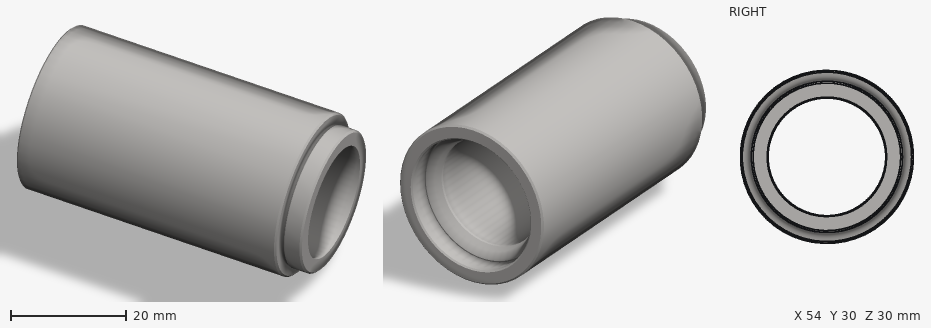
import cadquery as cq

total_length = 54.0
tube_length = 50.0
tube_radius = 15.0
edge_chamfer = 0.3

spigot_radius = 13.1
spigot_chamfer = 0.3

groove_width = 0.6
groove_depth = 0.25
groove_edge_chamfer = 0.15
groove_rim_radius = spigot_radius - groove_edge_chamfer
spigot_start = tube_length + groove_width

bore_radius = 10.35
seat_radius = 12.3
seat_depth = 6.6
mouth_chamfer = 0.25

spacer_thickness = 0.45
spacer_bore_radius = 10.25

ring_front = 4.0
ring_mouth_radius = 12.1
ring_bore_radius = 10.2
ring_land_length = 0.1
ring_back = seat_depth - spacer_thickness


def revolve_about_x(profile):
    """Revolve an (X, radius) outline into a solid of revolution about X."""
    return cq.Workplane("XY").polyline(profile).close().revolve(360, (0, 0, 0), (1, 0, 0))


def make_tube_blank():
    """Plain tube and spigot with a seat bored into the open end."""
    return revolve_about_x([
        (0, seat_radius + mouth_chamfer),
        (0, tube_radius - edge_chamfer),
        (edge_chamfer, tube_radius),
        (tube_length - edge_chamfer, tube_radius),
        (tube_length, tube_radius - edge_chamfer),
        (tube_length, groove_rim_radius),
        (spigot_start, groove_rim_radius),
        (spigot_start + groove_edge_chamfer, spigot_radius),
        (total_length - spigot_chamfer, spigot_radius),
        (total_length, spigot_radius - spigot_chamfer),
        (total_length, bore_radius),
        (seat_depth, bore_radius),
        (seat_depth, seat_radius),
        (mouth_chamfer, seat_radius),
    ])


def make_relief_groove():
    """Ring of waste whose inner side is the rounded groove floor."""
    return (
        cq.Workplane("XY")
        .moveTo(tube_length, groove_rim_radius)
        .threePointArc(
            (tube_length + groove_width / 2, groove_rim_radius - groove_depth),
            (spigot_start, groove_rim_radius),
        )
        .close()
        .revolve(360, (0, 0, 0), (1, 0, 0))
    )


def make_conical_ring():
    """Ring that narrows inward to a short cylindrical land."""
    return revolve_about_x([
        (ring_front, ring_mouth_radius),
        (ring_front, seat_radius),
        (ring_back, seat_radius),
        (ring_back, ring_bore_radius),
        (ring_back - ring_land_length, ring_bore_radius),
    ])


def make_spacer():
    """Thin washer-shaped ring that fills the bottom of the seat."""
    return revolve_about_x([
        (ring_back, spacer_bore_radius),
        (ring_back, seat_radius),
        (seat_depth, seat_radius),
        (seat_depth, spacer_bore_radius),
    ])


tube = make_tube_blank().cut(make_relief_groove())
conical_ring = make_conical_ring()
spacer = make_spacer()
result = cq.Compound.makeCompound([tube.val(), conical_ring.val(), spacer.val()])